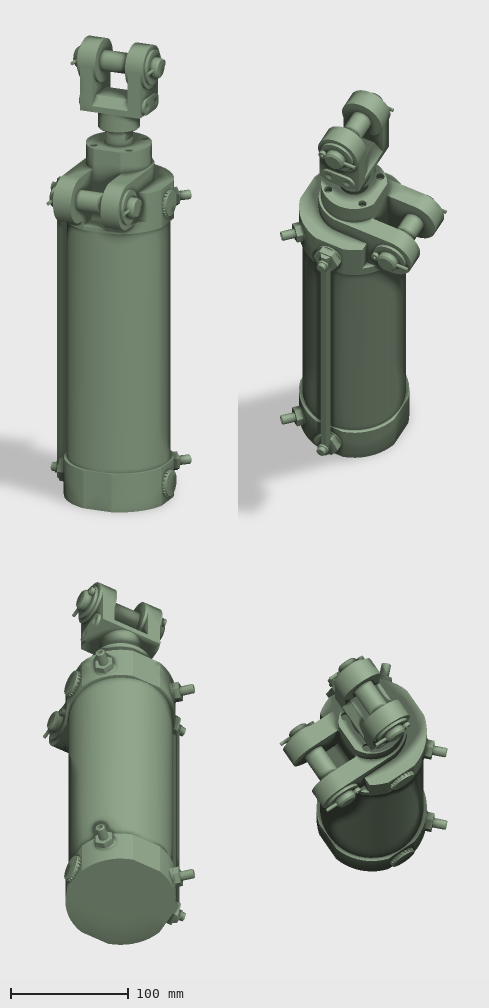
import cadquery as cq
import math

total_height = 407.0

tube_radius = 44.0
cap_radius = 47.0
cap_width = 90.0
cap_half_width = cap_width / 2
cap_height = 34.0
cap_top = 284.0
upper_cap_bottom = cap_top - cap_height
lower_fitting_z = 16.5
upper_fitting_z = 268.2

plug_diameter = 22.8
plug_root_diameter = 20.5
plug_tooth_length = 2.5
plug_rim_diameter = 22.0
plug_rim_length = 1.2
plug_teeth = 20
seat_thickness = 1.2
nut_corner_diameter = 23.0
stud_diameter = 7.7
stud_tip_x = -61.5
stud_nut_diameter = 9.8
stud_nut_length = 1.5

port_angle_plus_x = 45
port_angle_minus_x = 135
port_offset = 7.0
port_seat_radius = 9.8
port_seat_tip_radius = 7.7
port_root = 40.5
port_start = 45.5
port_seat_end = 47.5
port_hex_end = 53.0
port_tip = 64.7
port_hex_across_flats = 14.5
port_tube_diameter = 8.0
port_tip_chamfer = 0.6
port_bore_diameter = 5.0
port_bore_depth = 4.0

rail_outer_x = -56.0
rail_inner_x = -52.5
rail_bottom = 8.0
rail_top = 276.8
rail_width = 9.5
rail_crest_width = 4.5
rib_inner_x = -48.5
rib_bottom = 27.5
rib_top = 256.0
rib_width = 4.5

lug_pin_y = -50.5
lug_pin_z = 278.5
lug_radius = 20.0
lug_outer_x = 30.0
lug_inner_x = 14.0
clevis_top = lug_pin_z + lug_radius
lug_bottom = lug_pin_z - lug_radius
notch_y = -27.5
clevis_front_y = -25.2
pocket_floor_z = 253.5
pocket_fillet = 4.5
boss_radius = 28.0
boss_top = 316.5
bolt_hole_diameter = 7.0
bolt_hole_depth = 6.0
bolt_circle_radius = 23.0
bolt_count = 4
first_bolt_angle = 45

rod_diameter = 25.0
rod_flat_width = 18.7
rod_flat_bottom = 320.7
thread_diameter = 22.0

fork_width = 38.0
fork_radius = fork_width / 2
fork_pin_z = total_height - fork_radius
fork_bottom = 347.0
fork_base_top = 360.0
fork_base_chamfer = 7.7
fork_outer_x = 27.5
fork_inner_x = 16.3
eye_outer_x = 30.0
eye_inner_x = 14.0
collar_diameter = 36.0
collar_bottom = 330.0
collar_chamfer = 1.2
set_screw_z = 335.8
set_screw_diameter = 3.0
set_screw_depth = 6.0
pad_z = 354.5
pad_length = 31.0
pad_width = 14.0
pad_hole_spacing = 17.0
pad_hole_diameter = 7.0
pad_hole_depth = 2.0

pin_diameter = 18.0
pin_half_length = 39.0
pin_chamfer = 1.5
washer_diameter = 30.0
washer_thickness = 2.5
cotter_x = 35.0
cotter_diameter = 3.0
cotter_tail_y = -19.0
cotter_eye_y = 12.0
cotter_eye_diameter = 7.0
cotter_eye_hole = 2.3


def box(x_range, y_range, z_range):
    """A box between two limits along each axis."""
    (x0, x1), (y0, y1), (z0, z1) = x_range, y_range, z_range
    return cq.Workplane("XY").box(x1 - x0, y1 - y0, z1 - z0, centered=False).translate((x0, y0, z0))


def z_cylinder(radius, bottom, top):
    return cq.Workplane("XY").workplane(offset=bottom).circle(radius).extrude(top - bottom)


def x_cylinder(diameter, x0, x1, y=0.0, z=0.0):
    return cq.Workplane("YZ", origin=(x0, y, z)).circle(diameter / 2).extrude(x1 - x0)


def end_cap(bottom):
    """Round cap with four flats."""
    flats = cq.Workplane("XY").workplane(offset=bottom).rect(cap_width, cap_width).extrude(cap_height)
    return z_cylinder(cap_radius, bottom, bottom + cap_height).intersect(flats)


def toothed_plug(z):
    """Round plug on the +X flat, toothed next to the cap and with a plain rim outside."""
    tooth_end = cap_half_width + plug_tooth_length
    tooth_width = math.pi * plug_diameter / plug_teeth / 2
    plug = x_cylinder(plug_root_diameter, cap_half_width, tooth_end, z=z)
    teeth = (
        cq.Workplane("YZ", origin=(cap_half_width, 0, z))
        .polarArray(plug_root_diameter / 2, 0, 360, plug_teeth)
        .rect(plug_diameter - plug_root_diameter, tooth_width)
        .extrude(plug_tooth_length)
    )
    rim = x_cylinder(plug_rim_diameter, tooth_end, tooth_end + plug_rim_length, z=z)
    return plug.union(teeth).union(rim)


def rail_stud(z):
    """Seat, hexagon and threaded stud on the -X flat, with the nut that holds the rail."""
    seat = x_cylinder(plug_diameter, -cap_half_width - seat_thickness, -cap_half_width, z=z)
    hexagon = (
        cq.Workplane("YZ", origin=(rail_inner_x, 0, z))
        .polygon(6, nut_corner_diameter)
        .extrude(-cap_half_width - seat_thickness - rail_inner_x)
    )
    stud = x_cylinder(stud_diameter, stud_tip_x, rail_inner_x, z=z)
    nut = x_cylinder(stud_nut_diameter, rail_outer_x - stud_nut_length, rail_outer_x, z=z)
    return seat.union(hexagon).union(stud).union(nut)


def port_fitting(angle, z):
    """Conical seat, hexagon and tube end, built along +X and turned about the cylinder axis."""
    seat = (
        cq.Workplane("XZ")
        .polyline([
            (port_root, 0),
            (port_root, port_seat_radius),
            (port_start, port_seat_radius),
            (port_seat_end, port_seat_tip_radius),
            (port_seat_end, 0),
        ])
        .close()
        .revolve(360, (0, 0, 0), (1, 0, 0))
    )
    corner_diameter = port_hex_across_flats / math.cos(math.pi / 6)
    hexagon = (
        cq.Workplane("YZ", origin=(port_seat_end, 0, 0))
        .transformed(rotate=(0, 0, 90))
        .polygon(6, corner_diameter)
        .extrude(port_hex_end - port_seat_end)
    )
    tube_end = x_cylinder(port_tube_diameter, port_hex_end, port_tip)
    tube_end = tube_end.faces(">X").chamfer(port_tip_chamfer)
    bore = x_cylinder(port_bore_diameter, port_tip - port_bore_depth, port_tip)
    fitting = seat.union(hexagon).union(tube_end).cut(bore)
    return fitting.translate((0, 0, z)).rotate((0, 0, 0), (0, 0, 1), angle)


def add_fittings(body, fitting_z, plus_x_port_z):
    """Add a plug, a rail stud and two ports to a cap."""
    body = body.union(toothed_plug(fitting_z)).union(rail_stud(fitting_z))
    body = body.union(port_fitting(port_angle_minus_x, fitting_z))
    return body.union(port_fitting(port_angle_plus_x, plus_x_port_z))


def make_barrel():
    """Tube with its closed end cap."""
    barrel = end_cap(0).union(z_cylinder(tube_radius, cap_height, upper_cap_bottom))
    return add_fittings(barrel, lower_fitting_z, lower_fitting_z + port_offset)


def make_rail():
    half_width = rail_width / 2
    half_crest = rail_crest_width / 2
    strip = (
        cq.Workplane("XY")
        .workplane(offset=rail_bottom)
        .polyline([
            (rail_inner_x, -half_width),
            (rail_outer_x, -half_crest),
            (rail_outer_x, half_crest),
            (rail_inner_x, half_width),
        ])
        .close()
        .extrude(rail_top - rail_bottom)
    )
    rib = box((rail_inner_x, rib_inner_x), (-rib_width / 2, rib_width / 2), (rib_bottom, rib_top))
    rail = strip.union(rib)
    for z in (lower_fitting_z, upper_fitting_z):
        rail = rail.cut(x_cylinder(stud_diameter, rail_outer_x, rail_inner_x, z=z))
    return rail


def clevis_block():
    """Round base, straight arms and two rounded lugs, solid across X."""
    base = z_cylinder(lug_outer_x, cap_top, clevis_top)
    arms = box((-lug_outer_x, lug_outer_x), (lug_pin_y, 0), (cap_top, clevis_top))
    lugs = box((-lug_outer_x, lug_outer_x), (lug_pin_y, notch_y), (lug_bottom, clevis_top))
    lug_ends = x_cylinder(2 * lug_radius, -lug_outer_x, lug_outer_x, lug_pin_y, lug_pin_z)
    return base.union(arms).union(lugs).union(lug_ends)


def lug_gap():
    """Space between the lugs, which also flattens the boss and ends in a filleted pocket."""
    gap = box(
        (-lug_inner_x, lug_inner_x),
        (lug_pin_y - lug_radius, clevis_front_y),
        (pocket_floor_z, boss_top),
    )
    return gap.edges("|X and >Y and <Z").fillet(pocket_fillet)


def make_rod_cover():
    reach = 2 * cap_radius
    notch = box((-reach, reach), (-reach, notch_y), (lug_bottom, cap_top))
    cover = end_cap(upper_cap_bottom).cut(notch)
    boss = z_cylinder(boss_radius, clevis_top, boss_top)
    cover = cover.union(clevis_block()).union(boss).cut(lug_gap())
    cover = cover.cut(z_cylinder(rod_diameter / 2, upper_cap_bottom, boss_top))
    cover = cover.cut(x_cylinder(pin_diameter, -lug_outer_x, lug_outer_x, lug_pin_y, lug_pin_z))
    bolt_holes = (
        cq.Workplane("XY")
        .workplane(offset=boss_top)
        .polarArray(bolt_circle_radius, first_bolt_angle, 360, bolt_count)
        .circle(bolt_hole_diameter / 2)
        .extrude(-bolt_hole_depth)
    )
    cover = cover.cut(bolt_holes)
    return add_fittings(cover, upper_fitting_z, upper_fitting_z - port_offset)


def make_rod():
    rod = z_cylinder(rod_diameter / 2, upper_cap_bottom, collar_bottom)
    flat_cut = box(
        (rod_flat_width / 2, rod_diameter),
        (-rod_diameter, rod_diameter),
        (rod_flat_bottom, collar_bottom),
    )
    rod = rod.cut(flat_cut).cut(flat_cut.mirror("YZ"))
    return rod.union(z_cylinder(thread_diameter / 2, collar_bottom, fork_base_top))


def fork_cheek():
    """The +X cheek of the fork, with its round eye and its pad with two conical recesses."""
    cheek = box((fork_inner_x, fork_outer_x), (-fork_radius, fork_radius), (fork_bottom, fork_pin_z))
    cheek = cheek.union(x_cylinder(2 * fork_radius, eye_inner_x, eye_outer_x, z=fork_pin_z))
    pad = (
        cq.Workplane("YZ", origin=(fork_outer_x, 0, pad_z))
        .slot2D(pad_length, pad_width)
        .extrude(eye_outer_x - fork_outer_x)
    )
    below_pad = box((0, 2 * eye_outer_x), (-pad_length, pad_length), (0, fork_bottom))
    cheek = cheek.union(pad.cut(below_pad))
    for y in (-pad_hole_spacing / 2, pad_hole_spacing / 2):
        recess = cq.Solid.makeCone(
            pad_hole_diameter / 2, 0, pad_hole_depth, cq.Vector(eye_outer_x, y, pad_z), cq.Vector(-1, 0, 0)
        )
        cheek = cheek.cut(cq.Workplane(recess))
    return cheek


def make_fork():
    base = box((-fork_inner_x, fork_inner_x), (-fork_radius, fork_radius), (fork_bottom, fork_base_top))
    base = base.edges("|X and >Z").chamfer(fork_base_chamfer)
    collar = z_cylinder(collar_diameter / 2, collar_bottom, fork_bottom)
    collar = collar.faces("<Z").chamfer(collar_chamfer)
    cheek = fork_cheek()
    fork = base.union(collar).union(cheek).union(cheek.mirror("YZ"))
    fork = fork.cut(z_cylinder(thread_diameter / 2, collar_bottom, fork_base_top))
    fork = fork.cut(x_cylinder(pin_diameter, -eye_outer_x, eye_outer_x, z=fork_pin_z))
    collar_side = -collar_diameter / 2
    return fork.cut(x_cylinder(set_screw_diameter, collar_side, collar_side + set_screw_depth, z=set_screw_z))


def cotter_pin(x):
    """Straight shank along Y with a ring-shaped eye on its +Y end."""
    shank = (
        cq.Workplane("XZ", origin=(x, cotter_tail_y, 0))
        .circle(cotter_diameter / 2)
        .extrude(cotter_tail_y - cotter_eye_y + cotter_eye_diameter / 2)
    )
    half_thickness = cotter_diameter / 2
    eye = x_cylinder(cotter_eye_diameter, x - half_thickness, x + half_thickness, y=cotter_eye_y)
    eye_hole = x_cylinder(cotter_eye_hole, x - half_thickness, x + half_thickness, y=cotter_eye_y)
    return shank.union(eye.cut(eye_hole))


def make_pin(y, z, seat_x):
    """Pin along X, with a washer against each outer face at +-seat_x and a cotter pin per end."""
    pin = x_cylinder(pin_diameter, -pin_half_length, pin_half_length)
    pin = pin.faces("<X or >X").chamfer(pin_chamfer)
    for side in (-1, 1):
        washer = x_cylinder(washer_diameter, side * seat_x, side * (seat_x + washer_thickness))
        pin = pin.union(washer).union(cotter_pin(side * cotter_x))
    return pin.translate((0, y, z))


barrel = make_barrel()
rod_cover = make_rod_cover()
rail = make_rail()
rod = make_rod()
fork = make_fork()
pin_places = [
    (lug_pin_y, lug_pin_z, lug_outer_x),
    (0.0, fork_pin_z, eye_outer_x),
]
pins = [make_pin(y, z, seat_x).val() for y, z, seat_x in pin_places]

result = cq.Compound.makeCompound([
    barrel.val(),
    rod_cover.val(),
    rail.val(),
    rod.val(),
    fork.val(),
    *pins,
])